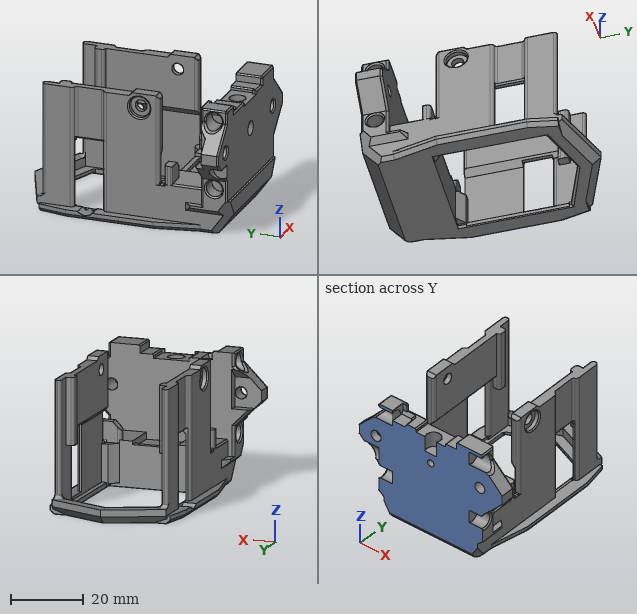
import cadquery as cq
import math

TOTAL_WIDTH = 50.84
TOTAL_LENGTH = 63.81
TOTAL_HEIGHT = 38.63
PICK_MARGIN = 0.1
OVERSHOOT = 5.0

PLATE_FRONT = 0.65
PLATE_BACK = 8.36
PLATE_HALF_WIDTH = 18.5
PLATE_TOP = 37.6
PLATE_STEP_TOP = 35.3
PLATE_CHANNEL_FLOOR = 34.2
STEP_LEFT = -12.0
STEP_RIGHT = 9.1
CHANNEL_MOUTH_HALF_WIDTH = 4.5
CHANNEL_HALF_WIDTH = 5.15
CHANNEL_LIP_BACK = 1.75
FRONT_CHAMFER = 0.45
BACK_CHAMFER = 0.65
CORNER_CHAMFER = 0.4

EAR_HALF_WIDTH = TOTAL_WIDTH / 2
EAR_CENTER_Z = 25.45
EAR_TIP_HALF_HEIGHT = 1.55
EAR_ROOT_HALF_HEIGHT = EAR_TIP_HALF_HEIGHT + EAR_HALF_WIDTH - PLATE_HALF_WIDTH
EAR_RELIEF_Y = 5.65
EAR_RELIEF_FLOOR = 21.85
EAR_RELIEF_ROOF = 30.3
EAR_RELIEF_INNER = -17.7

SCREW_DIAMETER = 3.4
SCREW_CHAMFER = 0.4
SCREW_Z = 25.9
LEFT_SCREW_X = -19.45
RIGHT_SCREW_X = 17.43
PILOT_DIAMETER = 2.09
PILOT_SINK_DIAMETER = 4.2
MAGNET_DIAMETER = 4.7
MAGNET_DEPTH = 4.8
MAGNET_CHAMFER = 0.45
MAGNET_Y = 4.5
MAGNET_HEIGHTS = (14.26, 34.3)
TOP_MAGNET_DEPTH = 5.0
NOTCH_CENTER_Y = 2.2
NOTCH_CENTER_Z = 20.1

POCKET_LEFT = -13.46
POCKET_RIGHT = -8.45
POCKET_FRONT = 1.45
POCKET_BACK = 7.6
POCKET_DEPTH = 1.2
POCKET_SLOPE = 0.8

WALL_OUTER = 16.64
WALL_INNER = 13.46
THIN_WALL_INNER = 14.7
LOWER_WALL_INNER = 15.3
WALL_FRONT = 21.15
WALL_BACK = 55.5
WALL_TOP = 37.65
WALL_ROUND = 1.0
WALL_END_ROUND = 0.9
THICK_BACK = 51.2
THICK_BOTTOM = 21.7
RIB_INNER = 12.4
RIB_FRONT = 48.1
RIB_BOTTOM = 18.5
RIB_ROUND = 0.9
TAB_BACK = 30.06
TAB_CHAMFER = 1.0

WINDOW_FRONT = 37.7
WINDOW_BACK = 46.2
WINDOW_TOP = 22.4
WINDOW_TOP_BEVEL = 0.45
WINDOW_INNER_ROUND = 1.1
GROOVE_FLOOR = 15.4
GROOVE_LIP = 1.1
GROOVE_TOE = 0.8

PIVOT_Y = 27.05
PIVOT_Z = 34.5
PIVOT_BORE_DIAMETER = 6.09
PIVOT_BORE_DEPTH = 1.6
PIVOT_BORE_CHAMFER = 0.4

DECK_TOP = 13.2
DECK_BACK = 19.6
DECK_CHAMFER = 0.45
DECK_CHANNEL_LEFT = -6.15
DECK_CHANNEL_RIGHT = 7.2
DECK_CHANNEL_DEPTH = 1.0
DECK_POCKET_BACK = 18.06
DECK_POCKET_DEPTH = 2.0
DECK_POCKET_CORNER = 1.2
SLOT_FLOOR = 12.3
GUSSET_BACK = 22.0
GUSSET_INNER = 10.9

FINGER_INNER = 10.4
FINGER_FLAT_INNER = 12.9
FINGER_FRONT = 17.4
FINGER_BACK = 19.8
FINGER_TOP = 18.27
FINGER_ROUND = 1.1
FINGER_FRONT_ROUND = 0.45

CHIN_TOP = 10.8
CHIN_KNEE = 6.1
CHIN_HEEL_Y = 4.43
CHIN_EDGE_HALF_WIDTH = 14.65
CHIN_TOP_HALF_WIDTH = 17.5
CHIN_CORNER_Y = 2.34
LEDGE_TOP = 8.4
LEDGE_EDGE_Z = 7.7
LEDGE_EDGE_BACK = 11.6

FLANGE_HALF_WIDTH = 19.15
FLANGE_TOP = 2.34
FLANGE_CHAMFER = 1.13
FLANGE_FRONT = 9.2
FLANGE_STRAIGHT_FRONT = 22.0
FLANGE_STRAIGHT_BACK = 47.7
FLANGE_TIP_HALF_WIDTH = 17.56
FLANGE_TIP_BACK = 56.1
LIP_TOP = 4.26
LIP_SIDE_BACK = 57.0
LIP_CHAMFER = 2.3
LIP_INNER_APEX = 60.4
LIP_INNER_SIDE = 54.5
SHELF_TOP = 1.5
OPENING_APEX = 57.2
OPENING_HALF_WIDTH = 13.8
OPENING_CHAMFER = 0.6
OPENING_SIDE = 51.8
LIP_FILLET = 1.25
THUMB_NOTCH_DIAMETER = 6.0
THUMB_NOTCH_DEPTH = 0.9
THUMB_NOTCH_Y = 42.0


def box(x0, x1, y0, y1, z0, z1):
    return cq.Workplane("XY").box(x1 - x0, y1 - y0, z1 - z0, centered=False).translate((x0, y0, z0))


def prism_z(points, z0, z1):
    return cq.Workplane("XY").workplane(offset=z0).polyline(points).close().extrude(z1 - z0)


def prism_y(points, y0, y1):
    """Extrude an (x, z) outline from y0 to y1."""
    return cq.Workplane("XZ").workplane(offset=-y1).polyline(points).close().extrude(y1 - y0)


def prism_x(points, x0, x1):
    """Extrude a (y, z) outline from x0 to x1."""
    return cq.Workplane("YZ").workplane(offset=x0).polyline(points).close().extrude(x1 - x0)


def cylinder(start, direction, diameter, length):
    return cq.Workplane(cq.Solid.makeCylinder(diameter / 2, length, cq.Vector(*start), cq.Vector(*direction)))


def cone(start, direction, d1, d2, length):
    return cq.Workplane(cq.Solid.makeCone(d1 / 2, d2 / 2, length, cq.Vector(*start), cq.Vector(*direction)))


def both_sides(body):
    return body.union(body.mirror("YZ"))


def mirrored(right_points):
    """Add the left half to the right half of an outline that is symmetric about X = 0."""
    return right_points + [(-x, v) for x, v in reversed(right_points)]


def plate_outline(inset=0.0):
    """Plate profile in (x, z), moved inward by the given inset; the channel floor stays put."""
    diagonal = inset * math.tan(math.radians(22.5))
    half = PLATE_HALF_WIDTH - inset
    tip = EAR_HALF_WIDTH - inset
    root_height = EAR_ROOT_HALF_HEIGHT - diagonal
    tip_height = EAR_TIP_HALF_HEIGHT - diagonal
    side = [
        (half, LEDGE_EDGE_Z),
        (half, EAR_CENTER_Z - root_height),
        (tip, EAR_CENTER_Z - tip_height),
        (tip, EAR_CENTER_Z + tip_height),
        (half, EAR_CENTER_Z + root_height),
        (half, PLATE_TOP - inset - CORNER_CHAMFER),
        (half - CORNER_CHAMFER, PLATE_TOP - inset),
    ]
    top = [
        (STEP_RIGHT + inset + CORNER_CHAMFER, PLATE_TOP - inset),
        (STEP_RIGHT + inset, PLATE_TOP - inset - CORNER_CHAMFER),
        (STEP_RIGHT + inset, PLATE_STEP_TOP - inset),
        (CHANNEL_MOUTH_HALF_WIDTH + inset, PLATE_STEP_TOP - inset),
        (CHANNEL_MOUTH_HALF_WIDTH + inset, PLATE_CHANNEL_FLOOR),
        (-CHANNEL_MOUTH_HALF_WIDTH - inset, PLATE_CHANNEL_FLOOR),
        (-CHANNEL_MOUTH_HALF_WIDTH - inset, PLATE_STEP_TOP - inset),
        (STEP_LEFT - inset, PLATE_STEP_TOP - inset),
        (STEP_LEFT - inset, PLATE_TOP - inset - CORNER_CHAMFER),
        (STEP_LEFT - inset - CORNER_CHAMFER, PLATE_TOP - inset),
    ]
    return side + top + [(-x, z) for x, z in reversed(side)]


def make_plate():
    bevel_end = PLATE_FRONT + FRONT_CHAMFER
    plate = prism_y(plate_outline(), bevel_end, PLATE_BACK)
    bevel = (
        cq.Workplane("XZ", origin=(0, PLATE_FRONT, 0))
        .polyline(plate_outline(FRONT_CHAMFER)).close()
        .workplane(offset=-FRONT_CHAMFER)
        .polyline(plate_outline()).close()
        .loft(ruled=True)
    )
    for inner, outer in (
        (PLATE_HALF_WIDTH - PICK_MARGIN, EAR_HALF_WIDTH + PICK_MARGIN),
        (-PLATE_HALF_WIDTH + PICK_MARGIN, -EAR_HALF_WIDTH - PICK_MARGIN),
    ):
        back_edges = cq.selectors.BoxSelector(
            (inner, PLATE_BACK - PICK_MARGIN, LEDGE_TOP),
            (outer, PLATE_BACK + PICK_MARGIN, PLATE_TOP - CORNER_CHAMFER),
        )
        plate = plate.edges(back_edges).chamfer(BACK_CHAMFER)
    return plate.union(bevel)


def cut_plate_channel(body):
    """Widen the channel across the plate top behind a narrow lip at its front mouth."""
    outline = mirrored([
        (CHANNEL_HALF_WIDTH, PLATE_CHANNEL_FLOOR),
        (CHANNEL_HALF_WIDTH, PLATE_STEP_TOP - CORNER_CHAMFER),
        (CHANNEL_HALF_WIDTH + CORNER_CHAMFER, PLATE_STEP_TOP),
    ])
    return body.cut(prism_y(outline, CHANNEL_LIP_BACK, PLATE_BACK))


def cut_ear_relief(body):
    """Hollow the back of the left ear; the roof of the hollow slopes at 45 degrees."""
    outline = [
        (EAR_RELIEF_Y, EAR_RELIEF_FLOOR),
        (EAR_RELIEF_Y, EAR_RELIEF_ROOF),
        (PLATE_BACK, EAR_RELIEF_ROOF + PLATE_BACK - EAR_RELIEF_Y),
        (PLATE_BACK, EAR_RELIEF_FLOOR),
    ]
    return body.cut(prism_x(outline, -EAR_HALF_WIDTH, EAR_RELIEF_INNER))


def cut_plate_holes(body):
    sink = SCREW_DIAMETER + 2 * SCREW_CHAMFER
    for x in (LEFT_SCREW_X, RIGHT_SCREW_X):
        body = body.cut(cylinder((x, 0, SCREW_Z), (0, 1, 0), SCREW_DIAMETER, PLATE_BACK))
        body = body.cut(cone((x, PLATE_FRONT, SCREW_Z), (0, 1, 0), sink, SCREW_DIAMETER, SCREW_CHAMFER))
    body = body.cut(cylinder((0, 0, SCREW_Z), (0, 1, 0), PILOT_DIAMETER, PLATE_BACK))
    sink_depth = (PILOT_SINK_DIAMETER - PILOT_DIAMETER) / 2
    body = body.cut(
        cone((0, PLATE_FRONT, SCREW_Z), (0, 1, 0), PILOT_SINK_DIAMETER, PILOT_DIAMETER, sink_depth)
    )
    body = body.cut(
        cylinder((0, MAGNET_Y, PLATE_CHANNEL_FLOOR), (0, 0, -1), MAGNET_DIAMETER, TOP_MAGNET_DEPTH)
    )
    return body


def ear_magnet_chamfer(z):
    """Chamfer where the magnet hole at height z runs out through the 45 degree slope of the ear."""
    radius = MAGNET_DIAMETER / 2
    slope_x = PLATE_HALF_WIDTH + EAR_CENTER_Z + EAR_ROOT_HALF_HEIGHT - z
    slope_plane = cq.Plane(origin=(slope_x, MAGNET_Y, z), xDir=(1, 0, -1), normal=(1, 0, 1))
    chamfer = (
        cq.Workplane(slope_plane)
        .ellipse((radius + MAGNET_CHAMFER) * math.sqrt(2), radius + MAGNET_CHAMFER)
        .workplane(offset=-MAGNET_CHAMFER)
        .center(-MAGNET_CHAMFER, 0)
        .ellipse(radius * math.sqrt(2), radius)
        .loft(ruled=True)
    )
    outside = box(PLATE_HALF_WIDTH, EAR_HALF_WIDTH, 0, PLATE_BACK, 0, PLATE_TOP)
    return chamfer.intersect(outside)


def cut_side_magnets(body):
    mouth = MAGNET_DIAMETER + 2 * MAGNET_CHAMFER
    ear_root_top = EAR_CENTER_Z + EAR_ROOT_HALF_HEIGHT
    above_ear = box(0, PLATE_HALF_WIDTH, 0, PLATE_BACK, ear_root_top, TOTAL_HEIGHT)
    for z in MAGNET_HEIGHTS:
        face = (PLATE_HALF_WIDTH, MAGNET_Y, z)
        pocket = cylinder(face, (-1, 0, 0), MAGNET_DIAMETER, MAGNET_DEPTH)
        mouth_chamfer = cone(face, (-1, 0, 0), mouth, MAGNET_DIAMETER, MAGNET_CHAMFER)
        if z > EAR_CENTER_Z:
            ear_run = EAR_HALF_WIDTH - PLATE_HALF_WIDTH
            pocket = pocket.union(cylinder(face, (1, 0, 0), MAGNET_DIAMETER, ear_run))
            pocket = pocket.union(ear_magnet_chamfer(z))
            mouth_chamfer = mouth_chamfer.intersect(above_ear)
        pocket = pocket.union(mouth_chamfer)
        body = body.cut(both_sides(pocket))
    return body


def cut_ear_notch(body):
    """Round notch in the lower slope of the left ear, open to the front."""
    start = (-PLATE_HALF_WIDTH, NOTCH_CENTER_Y, NOTCH_CENTER_Z)
    return body.cut(cylinder(start, (-1, 0, 0), MAGNET_DIAMETER, EAR_HALF_WIDTH - PLATE_HALF_WIDTH))


def pocket_outline(inset=0.0):
    """Pocket plan: the left side stays put while the other three sides move inward by the inset."""
    right = POCKET_RIGHT - inset
    front = POCKET_FRONT + inset
    back = PLATE_BACK - CORNER_CHAMFER - inset
    return [
        (POCKET_LEFT, front),
        (right - POCKET_SLOPE, front),
        (right, front + POCKET_SLOPE),
        (right, back - POCKET_SLOPE),
        (right - POCKET_SLOPE, back),
        (POCKET_LEFT, back),
    ]


def cut_top_pocket(body):
    block_side = box(POCKET_LEFT, STEP_LEFT, 0, POCKET_BACK, PLATE_STEP_TOP, PLATE_TOP)
    bevel = prism_x(
        [
            (PLATE_FRONT, PLATE_STEP_TOP),
            (PLATE_FRONT, PLATE_STEP_TOP - FRONT_CHAMFER),
            (PLATE_FRONT + FRONT_CHAMFER, PLATE_STEP_TOP),
        ],
        POCKET_LEFT,
        STEP_LEFT,
    )
    pocket = (
        cq.Workplane("XY", origin=(0, 0, PLATE_STEP_TOP))
        .polyline(pocket_outline()).close()
        .workplane(offset=-POCKET_DEPTH)
        .polyline(pocket_outline(POCKET_SLOPE)).close()
        .loft(ruled=True)
    )
    return body.cut(block_side).cut(bevel).cut(pocket)


def make_deck():
    deck = (
        box(-WALL_OUTER, WALL_OUTER, PLATE_BACK, DECK_BACK, 0, DECK_TOP)
        .edges("|Y and >Z").chamfer(DECK_CHAMFER)
        .edges("|Y and <Z").chamfer(FLANGE_CHAMFER)
    )
    gusset = prism_z(
        [
            (GUSSET_INNER, DECK_BACK),
            (WALL_INNER, GUSSET_BACK),
            (THIN_WALL_INNER, GUSSET_BACK),
            (THIN_WALL_INNER, GUSSET_BACK + WALL_ROUND),
            (WALL_OUTER, GUSSET_BACK + WALL_ROUND),
            (WALL_OUTER, FINGER_FRONT),
            (GUSSET_INNER, FINGER_FRONT),
        ],
        FLANGE_CHAMFER,
        SLOT_FLOOR,
    )
    return deck.union(both_sides(gusset))


def cut_deck_channel(body):
    channel = box(
        DECK_CHANNEL_LEFT, DECK_CHANNEL_RIGHT, PLATE_BACK, DECK_BACK,
        DECK_TOP - DECK_CHANNEL_DEPTH, DECK_TOP,
    )
    pocket = (
        box(
            DECK_CHANNEL_LEFT, DECK_CHANNEL_RIGHT, PLATE_BACK, DECK_POCKET_BACK,
            DECK_TOP - DECK_POCKET_DEPTH, DECK_TOP,
        )
        .edges("|Z and >X and >Y").chamfer(DECK_POCKET_CORNER)
    )
    return body.cut(channel).cut(pocket)


def make_finger():
    drop = FINGER_FLAT_INNER - FINGER_INNER
    outline = [
        (FINGER_INNER, SLOT_FLOOR),
        (WALL_OUTER, SLOT_FLOOR),
        (WALL_OUTER, FINGER_TOP),
        (FINGER_FLAT_INNER, FINGER_TOP),
        (FINGER_INNER, FINGER_TOP - drop),
    ]
    finger = (
        prism_y(outline, FINGER_FRONT, FINGER_BACK)
        .edges("|Z and (>Y or <X)").fillet(FINGER_ROUND)
        .edges("|Z and <Y and >X").fillet(FINGER_FRONT_ROUND)
    )
    return finger.union(make_slot_round())


def make_slot_round():
    """Round bottom of the narrow slot between the finger and the side wall."""
    radius = (WALL_FRONT - FINGER_BACK) / 2
    block = box(THIN_WALL_INNER, WALL_OUTER, FINGER_BACK, WALL_FRONT, SLOT_FLOOR, SLOT_FLOOR + radius)
    axis_start = (THIN_WALL_INNER, FINGER_BACK + radius, SLOT_FLOOR + radius)
    return block.cut(cylinder(axis_start, (1, 0, 0), 2 * radius, WALL_OUTER - THIN_WALL_INNER))


def make_chin():
    """Sloped chin and its side ledges."""
    profile = [
        (0, CHIN_TOP),
        (0, CHIN_KNEE),
        (CHIN_HEEL_Y, 0),
        (PLATE_BACK, 0),
        (PLATE_BACK, CHIN_TOP),
    ]
    chin = prism_x(profile, -PLATE_HALF_WIDTH, PLATE_HALF_WIDTH)
    chin = chin.edges("|Z and >Y").chamfer(BACK_CHAMFER)
    undercut = prism_y(
        [
            (WALL_OUTER - FLANGE_CHAMFER, 0),
            (WALL_OUTER, FLANGE_CHAMFER),
            (WALL_OUTER, CHIN_KNEE),
            (PLATE_HALF_WIDTH, LEDGE_EDGE_Z),
            (PLATE_HALF_WIDTH + OVERSHOOT, LEDGE_EDGE_Z),
            (PLATE_HALF_WIDTH + OVERSHOOT, 0),
        ],
        -OVERSHOOT,
        PLATE_BACK + OVERSHOOT,
    )
    chin = chin.cut(both_sides(undercut))
    ledge_reach = PLATE_HALF_WIDTH - WALL_OUTER
    ledge = prism_z(
        [
            (0, PLATE_FRONT + 2 * CHIN_CORNER_Y),
            (PLATE_HALF_WIDTH, PLATE_FRONT + 2 * CHIN_CORNER_Y),
            (PLATE_HALF_WIDTH, LEDGE_EDGE_BACK),
            (WALL_OUTER, LEDGE_EDGE_BACK + ledge_reach),
            (0, LEDGE_EDGE_BACK + ledge_reach),
        ],
        CHIN_KNEE,
        LEDGE_TOP,
    ).cut(undercut)
    return chin.union(both_sides(ledge))


def cut_chin_corners(body):
    """Cut each front corner by the plane through the chin's knee edge and its side."""
    knee = cq.Vector(CHIN_EDGE_HALF_WIDTH, 0, CHIN_KNEE)
    top = cq.Vector(CHIN_TOP_HALF_WIDTH, 0, CHIN_TOP)
    side = cq.Vector(WALL_OUTER, CHIN_CORNER_Y, CHIN_KNEE)
    along_knee = side - knee
    normal = along_knee.cross(top - knee)
    reach = 2 * CHIN_TOP
    cutter = (
        cq.Workplane(cq.Plane(origin=knee.toTuple(), xDir=along_knee.toTuple(), normal=normal.toTuple()))
        .rect(reach, reach).extrude(reach)
    )
    zone = box(0, PLATE_HALF_WIDTH + OVERSHOOT, -OVERSHOOT, PLATE_BACK, -OVERSHOOT, CHIN_TOP)
    return body.cut(both_sides(cutter.intersect(zone)))


def opening_outline(outset=0.0):
    """Plan of the V-backed opening through the base; the outset widens its sides and back."""
    side = WALL_INNER + outset
    return [
        (side, DECK_BACK),
        (side, OPENING_SIDE + outset),
        (0, OPENING_APEX + outset),
        (-side, OPENING_SIDE + outset),
        (-side, DECK_BACK),
    ]


def make_base():
    flange = prism_z(
        mirrored([
            (WALL_OUTER, FLANGE_FRONT),
            (FLANGE_HALF_WIDTH, FLANGE_STRAIGHT_FRONT),
            (FLANGE_HALF_WIDTH, FLANGE_STRAIGHT_BACK),
            (FLANGE_TIP_HALF_WIDTH, FLANGE_TIP_BACK),
            (WALL_OUTER, FLANGE_TIP_BACK),
        ]),
        0,
        FLANGE_TOP,
    )
    flange = flange.faces("<Z").edges("not(<Y or >Y)").chamfer(FLANGE_CHAMFER)
    lip = prism_z(
        [
            (WALL_OUTER, THICK_BACK),
            (WALL_OUTER, LIP_SIDE_BACK),
            (0, TOTAL_LENGTH),
            (-WALL_OUTER, LIP_SIDE_BACK),
            (-WALL_OUTER, THICK_BACK),
        ],
        0,
        LIP_TOP,
    )
    lip = lip.faces("<Z").edges("not(<Y or <X or >X)").chamfer(LIP_CHAMFER)
    recess = prism_z(
        [
            (THIN_WALL_INNER, GUSSET_BACK),
            (THIN_WALL_INNER, LIP_INNER_SIDE),
            (0, LIP_INNER_APEX),
            (-THIN_WALL_INNER, LIP_INNER_SIDE),
            (-THIN_WALL_INNER, GUSSET_BACK),
        ],
        SHELF_TOP,
        LIP_TOP,
    )
    opening = prism_z(opening_outline(), 0, LIP_TOP)
    side_relief = box(
        -OPENING_HALF_WIDTH, OPENING_HALF_WIDTH, GUSSET_BACK, THICK_BACK, 0, LIP_TOP
    )
    bottom_bevel = (
        cq.Workplane("XY")
        .polyline(opening_outline(OPENING_CHAMFER)).close()
        .workplane(offset=OPENING_CHAMFER)
        .polyline(opening_outline()).close()
        .loft(ruled=True)
    )
    opening = opening.union(side_relief).union(bottom_bevel)
    return flange.union(lip).cut(recess).cut(opening)


def cut_thumb_notch(body):
    """Shallow round notch across the sill of the left window."""
    axis_z = FLANGE_TOP - THUMB_NOTCH_DEPTH + THUMB_NOTCH_DIAMETER / 2
    start = (-WALL_INNER, THUMB_NOTCH_Y, axis_z)
    return body.cut(cylinder(start, (-1, 0, 0), THUMB_NOTCH_DIAMETER, FLANGE_HALF_WIDTH - WALL_INNER))


def groove_cutter():
    """Shallow vertical groove on the outer face, entered through a rounded lip and toe on each side."""
    run = GROOVE_LIP + GROOVE_TOE
    half_turn = math.atan((WALL_OUTER - GROOVE_FLOOR) / run)
    lip_radius = GROOVE_LIP / math.sin(2 * half_turn)
    toe_radius = GROOVE_TOE / math.sin(2 * half_turn)
    bend_x = WALL_OUTER - GROOVE_LIP * math.tan(half_turn)
    outside = WALL_OUTER + OVERSHOOT
    return (
        cq.Workplane("XY", origin=(0, 0, FLANGE_TOP))
        .moveTo(outside, WINDOW_FRONT - GROOVE_LIP)
        .lineTo(WALL_OUTER, WINDOW_FRONT - GROOVE_LIP)
        .radiusArc((bend_x, WINDOW_FRONT), -lip_radius)
        .radiusArc((GROOVE_FLOOR, WINDOW_FRONT + GROOVE_TOE), toe_radius)
        .lineTo(GROOVE_FLOOR, WINDOW_BACK - GROOVE_TOE)
        .radiusArc((bend_x, WINDOW_BACK), toe_radius)
        .radiusArc((WALL_OUTER, WINDOW_BACK + GROOVE_LIP), -lip_radius)
        .lineTo(outside, WINDOW_BACK + GROOVE_LIP)
        .close()
        .extrude(TOTAL_HEIGHT)
    )


def make_wall():
    """Right side wall: a thin full-height sheet, thickened inside above the window."""
    sheet = (
        box(THIN_WALL_INNER, WALL_OUTER, WALL_FRONT, WALL_BACK, FLANGE_CHAMFER, WALL_TOP)
        .edges("|Z and >Y").fillet(WALL_END_ROUND)
    )
    bevel = THIN_WALL_INNER - WALL_INNER
    thick = prism_y(
        [
            (THIN_WALL_INNER + WALL_ROUND, THICK_BOTTOM),
            (THIN_WALL_INNER, THICK_BOTTOM),
            (WALL_INNER, THICK_BOTTOM + bevel),
            (WALL_INNER, WALL_TOP),
            (THIN_WALL_INNER + WALL_ROUND, WALL_TOP),
        ],
        WALL_FRONT,
        THICK_BACK,
    )
    return sheet.union(thick)


def make_rib():
    return (
        box(RIB_INNER, THIN_WALL_INNER, RIB_FRONT, THICK_BACK, RIB_BOTTOM, WALL_TOP)
        .edges("|Z and <X").fillet(RIB_ROUND)
    )


def make_tab():
    outline = [
        (WALL_FRONT, WALL_TOP - TAB_CHAMFER),
        (WALL_FRONT, TOTAL_HEIGHT - TAB_CHAMFER),
        (WALL_FRONT + TAB_CHAMFER, TOTAL_HEIGHT),
        (TAB_BACK - TAB_CHAMFER, TOTAL_HEIGHT),
        (TAB_BACK, WALL_TOP),
        (TAB_BACK, WALL_TOP - TAB_CHAMFER),
    ]
    return prism_x(outline, WALL_INNER, WALL_OUTER)


def make_lip_fillet():
    """Concave foot swept around the rounded back end of the wall where it meets the base lip."""
    end_radius = (WALL_OUTER - THIN_WALL_INNER) / 2
    center = (WALL_OUTER - end_radius, WALL_BACK - end_radius)
    foot = (
        cq.Workplane("XZ", origin=(center[0], center[1], LIP_TOP))
        .lineTo(end_radius + LIP_FILLET, 0)
        .radiusArc((end_radius, LIP_FILLET), LIP_FILLET)
        .lineTo(0, LIP_FILLET)
        .close()
        .revolve(360, (0, 0), (0, 1))
    )
    behind_wall = box(0, WALL_OUTER, center[1], TOTAL_LENGTH, LIP_TOP, WALL_TOP)
    return foot.intersect(behind_wall)


def window_top_bevel():
    """Bevel between the groove floor and the top of the window."""
    outline = [
        (GROOVE_FLOOR - WINDOW_TOP_BEVEL, WINDOW_TOP),
        (GROOVE_FLOOR, WINDOW_TOP + WINDOW_TOP_BEVEL),
        (WALL_OUTER, WINDOW_TOP + WINDOW_TOP_BEVEL),
        (WALL_OUTER, WINDOW_TOP),
    ]
    return prism_y(outline, WINDOW_FRONT, WINDOW_BACK)


def window_back_round():
    """Cutter that rounds the back inner edge of the window."""
    radius = WINDOW_INNER_ROUND
    depth_end = THIN_WALL_INNER + radius
    return (
        cq.Workplane("XY", origin=(0, 0, FLANGE_TOP))
        .moveTo(THIN_WALL_INNER, WINDOW_BACK)
        .lineTo(depth_end, WINDOW_BACK)
        .radiusArc((THIN_WALL_INNER, WINDOW_BACK + radius), radius)
        .close()
        .extrude(THICK_BOTTOM - FLANGE_TOP)
    )


def lower_wall_recess():
    """Recess that thins the wall below its thick upper part; its roof carries on the 45 degree bevel."""
    depth = LOWER_WALL_INNER - THIN_WALL_INNER
    outline = [
        (THIN_WALL_INNER, SHELF_TOP),
        (LOWER_WALL_INNER, SHELF_TOP),
        (LOWER_WALL_INNER, THICK_BOTTOM - depth),
        (THIN_WALL_INNER, THICK_BOTTOM),
    ]
    return prism_y(outline, GUSSET_BACK, WINDOW_BACK).union(
        prism_y([(x, max(z, SLOT_FLOOR)) for x, z in outline], WALL_FRONT, GUSSET_BACK)
    )


def wall_cutters():
    window = box(RIB_INNER, WALL_OUTER + OVERSHOOT, WINDOW_FRONT, WINDOW_BACK, FLANGE_TOP, WINDOW_TOP)
    window = window.union(window_top_bevel()).union(window_back_round())
    face = (WALL_OUTER, PIVOT_Y, PIVOT_Z)
    mouth = PIVOT_BORE_DIAMETER + 2 * PIVOT_BORE_CHAMFER
    pivot = (
        cylinder(face, (-1, 0, 0), SCREW_DIAMETER, OVERSHOOT)
        .union(cylinder(face, (-1, 0, 0), PIVOT_BORE_DIAMETER, PIVOT_BORE_DEPTH))
        .union(cone(face, (-1, 0, 0), mouth, PIVOT_BORE_DIAMETER, PIVOT_BORE_CHAMFER))
    )
    return [groove_cutter(), window, pivot]


def make_walls():
    wall = make_wall().union(make_rib()).union(make_tab()).union(make_lip_fillet())
    front_corners = (
        box(WALL_INNER, WALL_OUTER, WALL_FRONT, TAB_BACK, 0, TOTAL_HEIGHT)
        .edges("|Z and <Y").fillet(WALL_ROUND)
        .union(box(0, WALL_OUTER, TAB_BACK, TOTAL_LENGTH, 0, TOTAL_HEIGHT))
    )
    wall = wall.intersect(front_corners)
    for cutter in wall_cutters():
        wall = wall.cut(cutter)
    return both_sides(wall)


def make_part():
    body = make_plate().union(make_chin()).union(make_deck())
    body = cut_chin_corners(body)
    body = body.union(make_base()).union(make_walls()).union(both_sides(make_finger()))
    body = body.cut(both_sides(lower_wall_recess()))
    body = cut_thumb_notch(body)
    body = cut_deck_channel(body)
    body = cut_plate_channel(body)
    body = cut_ear_relief(body)
    body = cut_plate_holes(body)
    body = cut_side_magnets(body)
    body = cut_ear_notch(body)
    body = cut_top_pocket(body)
    return body


result = make_part()